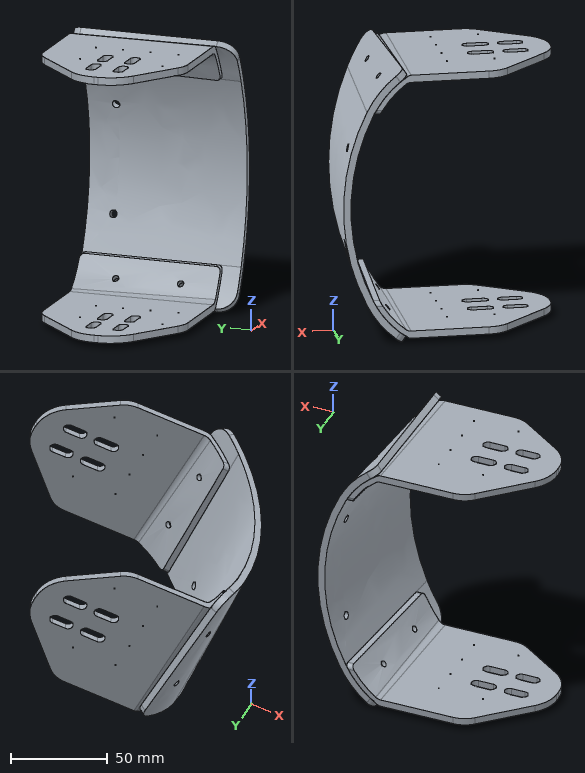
import cadquery as cq
import math

THICKNESS = 4.0
Y_BACK = 44.765
Y_FRONT = -Y_BACK

BACK_PROFILE = dict(apex=58.42, middle_radius=116.4, split_angle=26.6, end_radius=55.5, end_angle=57.13)
FRONT_PROFILE = dict(apex=49.45, middle_radius=137.0, split_angle=21.9, end_radius=110.0, end_angle=34.5)
SHELL_FRONT_CORNER = 10.0
SHELL_BACK_CORNER = 5.0
SHELL_HOLE_DIAMETER = 4.0
SHELL_HOLE_X = 49.0
SHELL_HOLES = [(28.5, 27.9), (29.8, -30.6)]

PLATE_TOP = 71.0
PLATE_BOTTOM = PLATE_TOP - THICKNESS
PLATE_FRONT = -34.5
FLANGE_THICKNESS = 3.0
FLANGE_INSET = THICKNESS + FLANGE_THICKNESS
PLATE_LEFT = -58.43
BEND_RADIUS = 4.5
TIP_CORNER = 2.5

NOSE_RADIUS = 20.0
NOSE_BACK_CORNER = 11.5
NOSE_FRONT_CORNER = -9.6
SHOULDER_RADIUS = 15.0
SHOULDER_BACK = -24.4
SHOULDER_FRONT = -22.7

SLOT_WIDTH = 5.3
SLOT_ROWS = (10.1, -4.8)
SLOTS = [(-38.7, 13.0), (-20.3, 13.7)]
PILOT_DIAMETER = 0.5
PILOT_LEFT_X = -25.3
PILOT_RIGHT_X = -0.2
PILOT_ROWS = (22.3, 7.4, -7.7, -22.9)

FLANGE_HOLE_DIAMETER = 3.33
FLANGE_HOLES = [(22.3, 45.0), (-13.8, 37.0)]
FLANGE_HOLE_X = 33.2
FLANGE_HOLE_Z = 62.4

HOLE_REACH = 12.0


def on_arc(center, radius, degrees):
    """Point (X, Z) on an arc; the angle runs from +X towards +Z."""
    angle = math.radians(degrees)
    return (center[0] + radius * math.cos(angle), center[1] + radius * math.sin(angle))


def arc_centers(profile):
    """Centres of the middle arc and of the upper end arc."""
    middle = (profile["apex"] - profile["middle_radius"], 0)
    end = on_arc(middle, profile["middle_radius"] - profile["end_radius"], profile["split_angle"])
    return middle, end


def end_point(profile, inset, degrees):
    """Point on the upper end arc, moved inwards by the inset."""
    center = arc_centers(profile)[1]
    return on_arc(center, profile["end_radius"] - inset, degrees)


def mirror_z(point):
    return (point[0], -point[1])


def section_plane(y):
    """XZ section plane at Y, with local axes along X and Z."""
    return cq.Workplane(cq.Plane(origin=(0, y, 0), xDir=(1, 0, 0), normal=(0, -1, 0)))


def ruled_loft(section):
    """Straight loft between a section's outline at the shell's back and front edges."""
    wires = [section(BACK_PROFILE, Y_BACK), section(FRONT_PROFILE, Y_FRONT)]
    return cq.Workplane(cq.Solid.makeLoft(wires, True))


def shell_section(profile, y):
    split = profile["split_angle"]
    end = profile["end_angle"]
    half = (split + end) / 2
    outer_split, outer_half, outer_end = [end_point(profile, 0, a) for a in (split, half, end)]
    inner_split, inner_half, inner_end = [end_point(profile, THICKNESS, a) for a in (split, half, end)]
    return (
        section_plane(y)
        .moveTo(*outer_end)
        .threePointArc(outer_half, outer_split)
        .threePointArc((profile["apex"], 0), mirror_z(outer_split))
        .threePointArc(mirror_z(outer_half), mirror_z(outer_end))
        .lineTo(*mirror_z(inner_end))
        .threePointArc(mirror_z(inner_half), mirror_z(inner_split))
        .threePointArc((profile["apex"] - THICKNESS, 0), inner_split)
        .threePointArc(inner_half, inner_end)
        .close()
        .wire()
        .val()
    )


def round_corner(body, corner, radius):
    """Fillet the short edge through the sheet whose middle is nearest to the corner."""
    return body.edges(cq.selectors.NearestToPointSelector(corner)).fillet(radius)


def hole_cutter(through, direction, diameter):
    """Cylinder along the direction, reaching equally far either side of a point."""
    axis = cq.Vector(*direction).normalized()
    start = cq.Vector(*through) - axis * HOLE_REACH
    return cq.Workplane(cq.Solid.makeCylinder(diameter / 2, 2 * HOLE_REACH, start, axis))


def flange_hole(y, tilt, side):
    """Cutter through flange and shell, close to square to the seam between them."""
    x, z = on_arc((0, 0), 1, tilt)
    direction = (x, 0, side * z)
    return hole_cutter((FLANGE_HOLE_X, y, side * FLANGE_HOLE_Z), direction, FLANGE_HOLE_DIAMETER)


def make_shell():
    shell = ruled_loft(shell_section)
    for side in (1, -1):
        for profile, y, radius in (
            (FRONT_PROFILE, Y_FRONT, SHELL_FRONT_CORNER),
            (BACK_PROFILE, Y_BACK, SHELL_BACK_CORNER),
        ):
            x, z = end_point(profile, THICKNESS / 2, profile["end_angle"])
            shell = round_corner(shell, (x, y, side * z), radius)
    for y, z in SHELL_HOLES:
        direction = (BACK_PROFILE["middle_radius"], 0, z)
        shell = shell.cut(hole_cutter((SHELL_HOLE_X, y, z), direction, SHELL_HOLE_DIAMETER))
    for side in (1, -1):
        for y, tilt in FLANGE_HOLES:
            shell = shell.cut(flange_hole(y, tilt, side))
    return shell


def bend_tangents(profile):
    """Where the inside bend starts: X on the plate's inner face and the angle on the flange's inner arc."""
    center = arc_centers(profile)[1]
    arc_radius = profile["end_radius"] - FLANGE_INSET
    bend_z = PLATE_BOTTOM - BEND_RADIUS
    angle = math.asin((bend_z - center[1]) / (arc_radius - BEND_RADIUS))
    bend_x = center[0] + (arc_radius - BEND_RADIUS) * math.cos(angle)
    return bend_x, math.degrees(angle)


def tangent_arc_middle(start, end):
    """Middle of the arc that leaves the start along X and reaches the end."""
    chord_angle = math.atan2(end[1] - start[1], end[0] - start[0])
    half_chord = math.dist(start, end) / 2 / math.cos(chord_angle / 2)
    return on_arc(start, half_chord, math.degrees(chord_angle / 2))


def outer_tip(profile):
    """Corner of the flange's tip on the shell, where the shell's inner arcs meet."""
    return end_point(profile, THICKNESS, profile["split_angle"])


def inner_tip_angle(profile):
    """Angle on the flange's inner arc that puts its tip level with the outer tip."""
    rise = outer_tip(profile)[1] - arc_centers(profile)[1][1]
    return math.degrees(math.asin(rise / (profile["end_radius"] - FLANGE_INSET)))


def flange_section(profile, y):
    """Flange lying against the shell's upper end arc, and the bend up to the plate."""
    split = profile["split_angle"]
    end = profile["end_angle"]
    bend_x, bend_angle = bend_tangents(profile)
    tip_angle = inner_tip_angle(profile)
    seam_half = end_point(profile, THICKNESS, (split + end) / 2)
    seam_end = end_point(profile, THICKNESS, end)
    inner_end = end_point(profile, FLANGE_INSET, bend_angle)
    inner_half = end_point(profile, FLANGE_INSET, (tip_angle + bend_angle) / 2)
    inner_tip = end_point(profile, FLANGE_INSET, tip_angle)
    plate_top = (bend_x, PLATE_TOP)
    plate_bottom = (bend_x, PLATE_BOTTOM)
    return (
        section_plane(y)
        .moveTo(*outer_tip(profile))
        .threePointArc(seam_half, seam_end)
        .threePointArc(tangent_arc_middle(plate_top, seam_end), plate_top)
        .lineTo(*plate_bottom)
        .threePointArc(tangent_arc_middle(plate_bottom, inner_end), inner_end)
        .threePointArc(inner_half, inner_tip)
        .close()
        .wire()
        .val()
    )


def at_plate_front(back_value, front_value):
    """Value on the straight line between the shell's back and front edges, at the plate's front edge."""
    return back_value + (front_value - back_value) * (Y_BACK - PLATE_FRONT) / (Y_BACK - Y_FRONT)


def make_flange():
    flange = ruled_loft(flange_section)
    size = 2 * PLATE_TOP
    in_front = cq.Workplane().box(size, size, 2 * size).translate((0, PLATE_FRONT - size / 2, 0))
    flange = flange.cut(in_front)
    back_tip = outer_tip(BACK_PROFILE)
    front_tip = outer_tip(FRONT_PROFILE)
    tip_x, tip_z = [at_plate_front(b, f) for b, f in zip(back_tip, front_tip)]
    half_tip = FLANGE_THICKNESS / 2
    flange = round_corner(flange, (back_tip[0] - half_tip, Y_BACK, back_tip[1]), TIP_CORNER)
    return round_corner(flange, (tip_x - half_tip, PLATE_FRONT, tip_z), TIP_CORNER)


def make_plate():
    bend_back = bend_tangents(BACK_PROFILE)[0]
    bend_front = at_plate_front(bend_back, bend_tangents(FRONT_PROFILE)[0])
    plate = (
        cq.Workplane()
        .workplane(offset=PLATE_BOTTOM)
        .polyline([
            (bend_back, Y_BACK),
            (SHOULDER_BACK, Y_BACK),
            (PLATE_LEFT, NOSE_BACK_CORNER),
            (PLATE_LEFT, NOSE_FRONT_CORNER),
            (SHOULDER_FRONT, PLATE_FRONT),
            (bend_front, PLATE_FRONT),
        ])
        .close()
        .extrude(THICKNESS)
    )
    mid_z = PLATE_BOTTOM + THICKNESS / 2
    plate = round_corner(plate, (PLATE_LEFT, NOSE_BACK_CORNER, mid_z), NOSE_RADIUS)
    plate = round_corner(plate, (PLATE_LEFT, NOSE_FRONT_CORNER, mid_z), NOSE_RADIUS)
    plate = round_corner(plate, (SHOULDER_BACK, Y_BACK, mid_z), SHOULDER_RADIUS)
    plate = round_corner(plate, (SHOULDER_FRONT, PLATE_FRONT, mid_z), SHOULDER_RADIUS)
    top = plate.faces(">Z").workplane(origin=(0, 0, PLATE_TOP))
    for x, length in SLOTS:
        slots = top.pushPoints([(x, y) for y in SLOT_ROWS]).slot2D(length, SLOT_WIDTH)
        plate = plate.cut(slots.extrude(-THICKNESS, combine=False))
    pilot_points = [(PILOT_RIGHT_X, y) for y in PILOT_ROWS]
    pilot_points += [(PILOT_LEFT_X, y) for y in (PILOT_ROWS[0], PILOT_ROWS[-1])]
    pilots = top.pushPoints(pilot_points).circle(PILOT_DIAMETER / 2)
    return plate.cut(pilots.extrude(-THICKNESS, combine=False))


def make_bracket(side):
    """Upper bracket for side 1, its mirror image below for side -1."""
    bracket = make_plate().union(make_flange())
    for y, tilt in FLANGE_HOLES:
        bracket = bracket.cut(flange_hole(y, tilt, 1))
    return bracket if side == 1 else bracket.mirror("XY")


shell = make_shell()
brackets = [make_bracket(side) for side in (1, -1)]

result = cq.Compound.makeCompound([shell.val(), *[bracket.val() for bracket in brackets]])